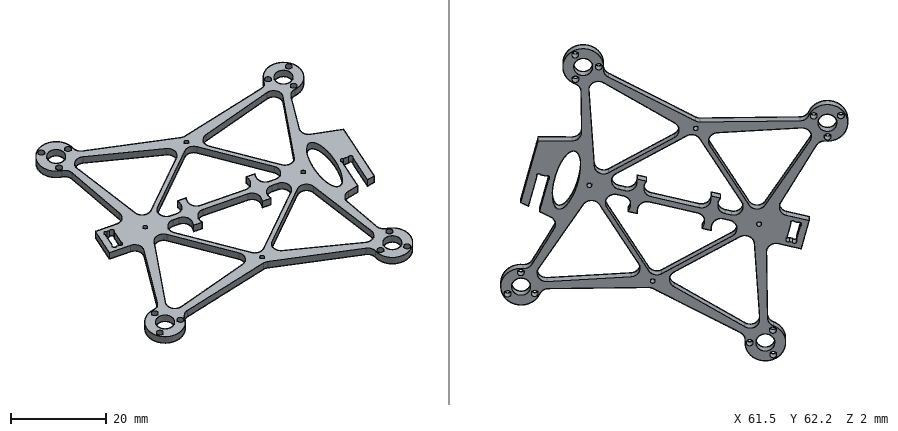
import cadquery as cq
import math

thickness = 2.0
corner_radius = 2.0

mount_offset = 26.45
mount_reach = mount_offset * math.sqrt(2)
mount_radius = 4.3
shaft_hole_diameter = 4.0
mount_screw_diameter = 1.4
mount_screw_circle_radius = 3.3
mount_screw_count = 3
mount_angles = [45, 135, 225, 315]

waist = 19.95
arm_taper = math.tan(math.radians(15))
star_tip = waist / (1 - arm_taper)

side_window_slope = math.tan(math.radians(17.9))
side_window_start = 17.0
strut_outer = 19.1
strut_inner = 17.65

spine_width = 1.3
spine_half_width = spine_width / 2
crossbar_half_length = 3.9
crossbar_offset = 8.0
crossbar_waist = 1.6
crossbar_tip = 2.05

board_screw_diameter = 1.0
board_screw_offset = 18.4

front_tab_end = 31.4
front_tab_end_half_width = 7.45
front_tab_root = 18.65
front_tab_flare = math.tan(math.radians(14))
side_slot_start = 0.155
side_slot_end = 12.4
side_slot_bottom = 27.0
side_slot_top = 29.6
oval_center = 23.35
oval_half_length = 6.95
oval_half_width = 2.5

rear_tab_end = -28.4
rear_tab_half_width = 3.4
strap_slot_half_length = 2.35
strap_slot_bottom = -26.9
strap_slot_top = -24.85

relief_radius = 0.5


def prism(points):
    """Solid plate of full thickness with the given outline."""
    return cq.Workplane("XY").polyline(points).close().extrude(thickness)


def cylinders(diameter, points):
    """Full-thickness cylinders at the given points."""
    return cq.Workplane("XY").pushPoints(points).circle(diameter / 2).extrude(thickness)


def box_edges(body, x_range, y_range):
    """Upright edges of the body whose centres lie in the given rectangle."""
    low = (x_range[0], y_range[0], 0)
    high = (x_range[1], y_range[1], thickness)
    return body.edges("|Z").edges(cq.selectors.BoxSelector(low, high))


def frame_outline():
    """Star with a round motor mount on each tip."""
    star = prism([
        (waist, 0), (star_tip, star_tip), (0, waist), (-star_tip, star_tip),
        (-waist, 0), (-star_tip, -star_tip), (0, -waist), (star_tip, -star_tip),
    ])
    mount = cylinders(2 * mount_radius, [(mount_reach, 0)])
    for angle in mount_angles:
        star = star.union(mount.rotate((0, 0, 0), (0, 0, 1), angle))
    necks = box_edges(star, (-mount_offset, mount_offset), (-mount_offset, mount_offset))
    return necks.fillet(corner_radius)


def add_front_tab(body):
    """Join the tapered +Y tab and blend its roots into the arms."""
    root_half_width = front_tab_end_half_width + front_tab_flare * (front_tab_end - front_tab_root)
    tab = prism([
        (-root_half_width, front_tab_root),
        (root_half_width, front_tab_root),
        (front_tab_end_half_width, front_tab_end),
        (-front_tab_end_half_width, front_tab_end),
    ])
    body = body.union(tab)
    roots = box_edges(body, (-root_half_width, root_half_width), (front_tab_root, side_slot_bottom))
    return roots.fillet(corner_radius)


def add_rear_tab(body):
    """Join the straight -Y tab and blend its roots into the arms."""
    tab = prism([
        (-rear_tab_half_width, 0),
        (rear_tab_half_width, 0),
        (rear_tab_half_width, rear_tab_end),
        (-rear_tab_half_width, rear_tab_end),
    ])
    body = body.union(tab)
    reach = 2 * rear_tab_half_width
    roots = box_edges(body, (-reach, reach), (rear_tab_end + corner_radius, 0))
    return roots.fillet(corner_radius)


def side_window():
    """Rounded triangular opening of the (+X, +Y) arm."""
    tip = side_window_start / (1 - side_window_slope)
    near = (strut_outer - side_window_start) / (1 + side_window_slope)
    far = strut_outer - near
    triangle = prism([(tip, tip), (near, far), (far, near)])
    return triangle.edges("|Z").fillet(corner_radius)


def center_window():
    """Diamond opening, less the spine and the crossbars that stay in it."""
    left_half = prism([
        (-strut_inner, 0),
        (-spine_half_width, strut_inner - spine_half_width),
        (-spine_half_width, spine_half_width - strut_inner),
    ]).edges("|Z").fillet(corner_radius)
    window = left_half.union(left_half.mirror("YZ"))
    return window.cut(crossbar(crossbar_offset)).cut(crossbar(-crossbar_offset))


def crossbar(y):
    """Bar across the spine, blended into it and flaring gently towards both ends."""
    waist_x = spine_half_width + corner_radius
    waist_y = crossbar_waist / 2
    tip_y = crossbar_tip / 2
    run = crossbar_half_length - waist_x
    rise = tip_y - waist_y
    flare_radius = (run**2 + rise**2) / (2 * rise)
    quarter = (
        cq.Workplane("XY")
        .lineTo(crossbar_half_length, 0)
        .lineTo(crossbar_half_length, tip_y)
        .radiusArc((waist_x, waist_y), flare_radius)
        .radiusArc((spine_half_width, waist_y + corner_radius), corner_radius)
        .lineTo(0, waist_y + corner_radius)
        .close()
        .extrude(thickness)
    )
    half = quarter.union(quarter.mirror("YZ"))
    return half.union(half.mirror("XZ")).translate((0, y, 0))


def relieved_slot(left, right, bottom, top):
    """Rectangular slot with a small round relief passing through each corner."""
    inset = relief_radius / math.sqrt(2)
    slot = prism([(left, bottom), (right, bottom), (right, top), (left, top)])
    reliefs = [(x, y) for x in (left + inset, right - inset) for y in (bottom + inset, top - inset)]
    return slot.union(cylinders(2 * relief_radius, reliefs))


def mount_holes():
    """Shaft and screw holes of one mount lying on the X axis."""
    screws = []
    for i in range(mount_screw_count):
        angle = 2 * math.pi * i / mount_screw_count
        screws.append((
            mount_reach + mount_screw_circle_radius * math.cos(angle),
            mount_screw_circle_radius * math.sin(angle),
        ))
    holes = cylinders(shaft_hole_diameter, [(mount_reach, 0)])
    return holes.union(cylinders(mount_screw_diameter, screws))


plate = add_rear_tab(add_front_tab(frame_outline()))

for angle in mount_angles:
    plate = plate.cut(mount_holes().rotate((0, 0, 0), (0, 0, 1), angle))
    plate = plate.cut(side_window().rotate((0, 0, 0), (0, 0, 1), angle - 45))

plate = plate.cut(center_window())

board_screws = [
    (board_screw_offset, 0), (-board_screw_offset, 0),
    (0, board_screw_offset), (0, -board_screw_offset),
]
plate = plate.cut(cylinders(board_screw_diameter, board_screws))

oval = cq.Workplane("XY").center(0, oval_center).ellipse(oval_half_length, oval_half_width).extrude(thickness)
plate = plate.cut(oval)

side_slot = relieved_slot(side_slot_start, side_slot_end, side_slot_bottom, side_slot_top)
plate = plate.cut(side_slot)

strap_slot = relieved_slot(-strap_slot_half_length, strap_slot_half_length, strap_slot_bottom, strap_slot_top)
plate = plate.cut(strap_slot)

result = plate